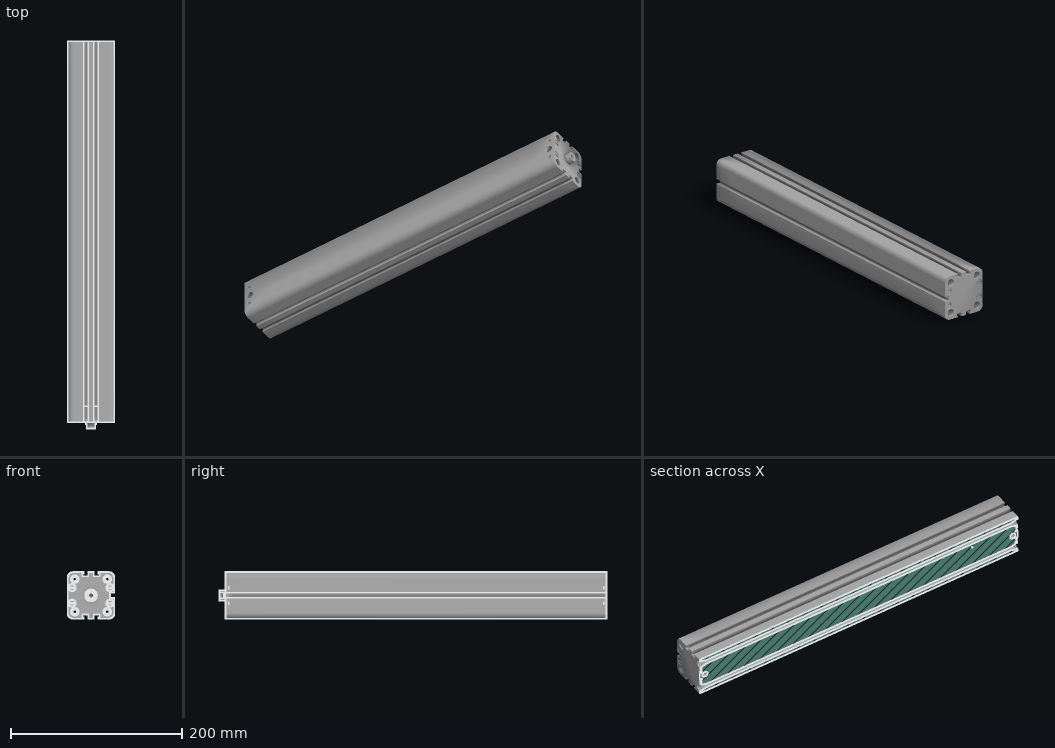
import cadquery as cq
import math

total_length = 452.0
width = 54.5
half_width = width / 2
corner_radius = 7.0
rod_length = 7.2
cap_length = 14.0
body_length = total_length - rod_length
tube_length = body_length - 2 * cap_length

rod_tip_y = 0.0
front_y = rod_tip_y + rod_length
rear_y = front_y + body_length

slot_depth = 5.0
slot_inner_x = 3.4
slot_outer_x = 8.5
hook_outer_x = 10.0
slot_lip = 2.0
side_slot_width = 6.0

relief_length = 19.0
relief_depth = 0.23

screw_offset = 19.0
screw_hole_diameter = 5.0
screw_recess_diameter = 9.0
screw_recess_depth = 4.5
screw_socket_diameter = 7.0
screw_socket_depth = 8.0

cushion_x = 22.0
cushion_z = 9.0
cushion_hole_diameter = 8.5
cushion_screw_diameter = 7.5
cushion_hole_depth = 3.5
cushion_screw_recess = 1.0
cushion_slot_width = 1.5
cushion_slot_depth = 2.0

port_from_end = 7.5
port_diameter = 8.5
port_depth = 3.5
port_bore_diameter = 7.0
port_bore_depth = 11.5
pin_from_end = 7.0
pin_z = 12.5
pin_mouth_diameter = 4.0
pin_mouth_depth = 1.5
pin_diameter = 3.0
pin_depth = 7.0

rod_diameter = 12.0
rod_flats = 10.0
rod_collar = 2.3
rod_hole_diameter = 7.0
rod_hole_depth = 13.5
rod_hole_mouth_diameter = 8.5
drill_point_angle = 118
rod_gap_diameter = 14.0
rod_gap_depth = 2.0


def box(x_range, y_range, z_range):
    """Axis-aligned box between the given limits."""
    size = [high - low for low, high in (x_range, y_range, z_range)]
    start = (x_range[0], y_range[0], z_range[0])
    return cq.Workplane("XY").box(*size, centered=False).translate(start)


def y_cylinder(x, z, diameter, y_start, y_end):
    """Cylinder along Y."""
    plane = cq.Workplane("XZ", origin=(x, y_start, z))
    return plane.circle(diameter / 2).extrude(y_start - y_end)


def side_hole(y, z, diameter, depth):
    """Cutter for a hole going in from the -X face."""
    plane = cq.Workplane("YZ", origin=(-half_width, y, z))
    return plane.circle(diameter / 2).extrude(depth)


def four_ways(cutter):
    """The cutter together with its mirror images across X = 0 and Z = 0."""
    pair = cutter.union(cutter.mirror("YZ"))
    return pair.union(pair.mirror("XY"))


def profile(y_start, y_end):
    """Length of the slotted square section with the four corner screw holes."""
    y_range = (y_start, y_end)
    section = box((-half_width, half_width), y_range, (-half_width, half_width))
    section = section.edges("|Y").fillet(corner_radius)
    floor = half_width - slot_depth
    opening = box((slot_inner_x, slot_outer_x), y_range, (floor, half_width))
    hook = box((slot_inner_x, hook_outer_x), y_range, (floor, half_width - slot_lip))
    section = section.cut(four_ways(opening.union(hook)))
    half_slot = side_slot_width / 2
    section = section.cut(box((floor, half_width), y_range, (-half_slot, half_slot)))
    screw_hole = y_cylinder(screw_offset, screw_offset, screw_hole_diameter, y_start, y_end)
    return section.cut(four_ways(screw_hole))


def cushion_cutter(outer_y, inward):
    """Cutter that leaves a slotted screw standing in its hole."""
    hole_end = outer_y + inward * cushion_hole_depth
    screw_top = outer_y + inward * cushion_screw_recess
    slot_end = screw_top + inward * cushion_slot_depth
    hole = y_cylinder(cushion_x, cushion_z, cushion_hole_diameter, outer_y, hole_end)
    screw = y_cylinder(cushion_x, cushion_z, cushion_screw_diameter, screw_top, hole_end)
    half_length = cushion_screw_diameter / 2
    half_slot = cushion_slot_width / 2
    slot = box(
        (cushion_x - half_length, cushion_x + half_length),
        (min(screw_top, slot_end), max(screw_top, slot_end)),
        (cushion_z - half_slot, cushion_z + half_slot),
    )
    return hole.cut(screw.cut(slot))


def end_cap(outer_y, inner_y):
    """End cap with screw recesses, cushioning screws, a stepped air port and stepped pin holes."""
    inward = 1 if inner_y > outer_y else -1
    cap = profile(min(outer_y, inner_y), max(outer_y, inner_y))
    for diameter, depth in (
        (screw_recess_diameter, screw_recess_depth),
        (screw_socket_diameter, screw_socket_depth),
    ):
        step_end = outer_y + inward * depth
        cap = cap.cut(four_ways(y_cylinder(screw_offset, screw_offset, diameter, outer_y, step_end)))
    cap = cap.cut(four_ways(cushion_cutter(outer_y, inward)))
    port_y = outer_y + inward * port_from_end
    cap = cap.cut(side_hole(port_y, 0, port_diameter, port_depth))
    cap = cap.cut(side_hole(port_y, 0, port_bore_diameter, port_bore_depth))
    pin_y = outer_y + inward * pin_from_end
    for z in (-pin_z, pin_z):
        cap = cap.cut(side_hole(pin_y, z, pin_mouth_diameter, pin_mouth_depth))
        cap = cap.cut(side_hole(pin_y, z, pin_diameter, pin_depth))
    return cap


def slot_relief():
    """Cutter that deepens the floors of the hooked slots at the front end."""
    floor = half_width - slot_depth
    y_range = (front_y, front_y + relief_length)
    return four_ways(box((slot_inner_x, slot_outer_x), y_range, (floor - relief_depth, floor)))


def piston_rod(rod_base_y):
    """Rod end with two wrench flats facing +X and -X."""
    rod = y_cylinder(0, 0, rod_diameter, rod_tip_y, rod_base_y)
    flat_y = (rod_tip_y, front_y - rod_collar)
    radius = rod_diameter / 2
    flat = box((rod_flats / 2, radius), flat_y, (-radius, radius))
    return rod.cut(flat).cut(flat.mirror("YZ"))


def rod_hole():
    """Cutter for the countersunk rod hole with its conical bottom."""
    radius = rod_hole_diameter / 2
    mouth_radius = rod_hole_mouth_diameter / 2
    floor_y = rod_tip_y + rod_hole_depth
    point_y = floor_y + radius / math.tan(math.radians(drill_point_angle / 2))
    half_section = (
        cq.Workplane("XY")
        .moveTo(0, rod_tip_y)
        .lineTo(mouth_radius, rod_tip_y)
        .lineTo(radius, rod_tip_y + mouth_radius - radius)
        .lineTo(radius, floor_y)
        .lineTo(0, point_y)
        .close()
    )
    return half_section.revolve(360, (0, 0), (0, 1))


tube_start = front_y + cap_length
tube_end = tube_start + tube_length
rod_base_y = front_y + rod_gap_depth
front_cap = end_cap(front_y, tube_start)
front_cap = front_cap.cut(y_cylinder(0, 0, rod_gap_diameter, front_y, rod_base_y))

result = profile(tube_start, tube_end)
result = result.union(front_cap, clean=False)
result = result.union(end_cap(rear_y, tube_end), clean=False)
result = result.union(piston_rod(rod_base_y), clean=False)
result = result.cut(slot_relief(), clean=False).cut(rod_hole(), clean=False)